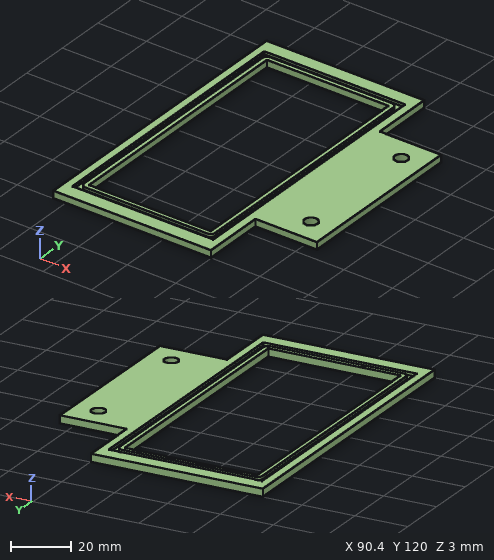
import cadquery as cq

thickness = 3.0
frame_length = 120.0
overall_width = 90.4
tab_width = 25.3
frame_width = overall_width - tab_width
tab_length = 70.0

window_width = 50.0
window_length = 100.0
lip_width = 2.0
lip_corner_radius = lip_width

groove_width = 1.9
groove_depth = 1.2

hole_diameter = 5.2
hole_spacing = 50.8
hole_edge_distance = 9.5

lip_outer_width = window_width + 2 * lip_width
lip_outer_length = window_length + 2 * lip_width
groove_outer_width = lip_outer_width + 2 * groove_width
groove_outer_length = lip_outer_length + 2 * groove_width


def centred_block(width, length, height, bottom=0.0):
    """Block centred on the window axis, rising from the given level."""
    return cq.Workplane("XY", origin=(0, 0, bottom)).rect(width, length).extrude(height)


frame = centred_block(frame_width, frame_length, thickness)
tab = centred_block(tab_width, tab_length, thickness).translate(((frame_width + tab_width) / 2, 0, 0))
plate = frame.union(tab)

groove_floor = thickness - groove_depth
lip = centred_block(lip_outer_width, lip_outer_length, groove_depth, groove_floor)
lip = lip.edges("|Z").fillet(lip_corner_radius)
groove = centred_block(groove_outer_width, groove_outer_length, groove_depth, groove_floor).cut(lip)

window = centred_block(window_width, window_length, thickness)
hole_x = frame_width / 2 + tab_width - hole_edge_distance
hole_centres = [(hole_x, side * hole_spacing / 2) for side in (-1, 1)]
holes = cq.Workplane("XY").pushPoints(hole_centres).circle(hole_diameter / 2).extrude(thickness)

result = plate.cut(groove).cut(window).cut(holes)